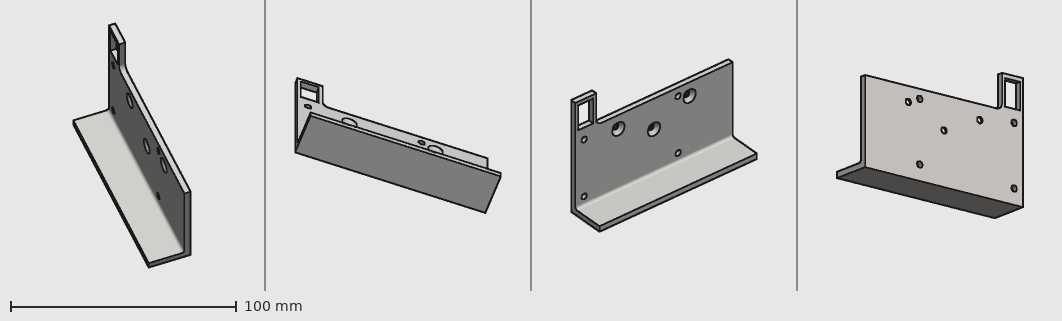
import cadquery as cq

LENGTH = 89.8
DEPTH = 20.0
HEIGHT = 60.19
THICKNESS = 3.0
PLATE_HEIGHT = 43.0
BEND_FILLET = 1.5

TOWER_WIDTH = 12.0
TOWER_FILLET = 3.0
WINDOW_WIDTH = 8.5
WINDOW_HEIGHT = 13.3
WINDOW_LEFT = 1.7
WINDOW_TOP_RIM = 2.1

HOLE_DIAMETER = 3.0
HOLE_LEFT = 5.1
HOLE_BOTTOM = 7.7
HOLE_SPACING_X = 53.6
HOLE_SPACING_Z = 30.6

SINK_DIAMETER = 7.0
SINK_ANGLE = 90.0
SINK_SPACING_X = 40.6
SINK_UPPER_Z = 35.5
SINK_LOWER_Z = 26.5

plate_front = DEPTH - THICKNESS


def make_angle():
    """L-shaped profile, filleted inside the bend, extruded along X."""
    profile = (
        cq.Workplane("YZ")
        .moveTo(0, 0)
        .lineTo(DEPTH, 0)
        .lineTo(DEPTH, HEIGHT)
        .lineTo(plate_front, HEIGHT)
        .lineTo(plate_front, THICKNESS + BEND_FILLET)
        .radiusArc((plate_front - BEND_FILLET, THICKNESS), BEND_FILLET)
        .lineTo(0, THICKNESS)
        .close()
    )
    return profile.extrude(LENGTH)


def make_tower_relief():
    """Material beside the tower, leaving a fillet at its foot."""
    relief = cq.Workplane("XY").box(
        LENGTH - TOWER_WIDTH, DEPTH, HEIGHT - PLATE_HEIGHT, centered=False
    )
    relief = relief.edges("|Y and <X and <Z").fillet(TOWER_FILLET)
    return relief.translate((TOWER_WIDTH, 0, PLATE_HEIGHT))


def make_window():
    """Rectangular opening through the tower."""
    window = cq.Workplane("XY").box(WINDOW_WIDTH, DEPTH, WINDOW_HEIGHT, centered=False)
    return window.translate((WINDOW_LEFT, 0, HEIGHT - WINDOW_TOP_RIM - WINDOW_HEIGHT))


def front_face_plane():
    """Plane on the upright plate's front face, with local axes along X and Z."""
    return cq.Plane(origin=(0, plate_front, 0), xDir=(1, 0, 0), normal=(0, -1, 0))


def drill_plain_holes(body):
    """Four straight holes through the upright plate."""
    points = [
        (x, z)
        for x in (HOLE_LEFT, HOLE_LEFT + HOLE_SPACING_X)
        for z in (HOLE_BOTTOM, HOLE_BOTTOM + HOLE_SPACING_Z)
    ]
    cutters = cq.Workplane(front_face_plane()).pushPoints(points).circle(HOLE_DIAMETER / 2)
    return body.cut(cutters.extrude(-THICKNESS))


def drill_countersunk_holes(body):
    """Three holes sunk from the front face, symmetric about the middle of the length."""
    middle_x = LENGTH / 2
    points = [
        (middle_x - SINK_SPACING_X / 2, SINK_UPPER_Z),
        (middle_x, SINK_LOWER_Z),
        (middle_x + SINK_SPACING_X / 2, SINK_UPPER_Z),
    ]
    holes = body.copyWorkplane(cq.Workplane(front_face_plane())).pushPoints(points)
    return holes.cskHole(HOLE_DIAMETER, SINK_DIAMETER, SINK_ANGLE, THICKNESS)


bracket = make_angle().cut(make_tower_relief()).cut(make_window())
bracket = drill_plain_holes(bracket)
result = drill_countersunk_holes(bracket)